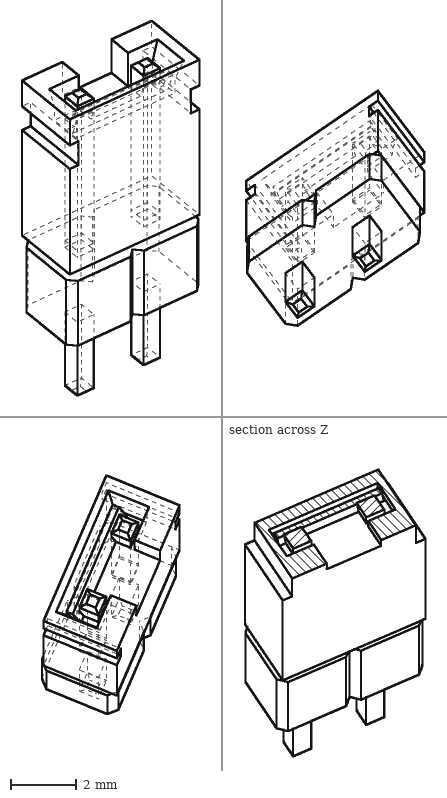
import cadquery as cq
import math

overall_height = 11.8

header_length = 5.09
pin_pitch = header_length / 2
block_depth = 2.55
block_height = 2.51
block_bottom = 3.01
block_chamfer = 0.26

pin_positions_y = (-pin_pitch / 2, pin_pitch / 2)
pin_width = 0.64
pin_top = 11.54
pin_tip_height = 0.15
pin_tip_width = pin_width / 2

cap_min_x = -1.31
cap_max_x = 1.13
cap_length = 4.98
cap_height = 6.02
cap_bottom = overall_height - cap_height

groove_top = overall_height - 1.0
groove_height = 0.92
groove_depth = 0.33

pocket_min_x = -0.46
pocket_max_x = 0.88
pocket_length = 4.15
pocket_depth = 1.3
pocket_floor = overall_height - pocket_depth
pocket_taper_depth = 0.75
pocket_taper_x = 0.21
pocket_taper_y = 0.19
window_width = 1.89

contact_length = 3.66
contact_thickness = 0.22
contact_foot_x = 0.17
contact_lean = 0.27
contact_height = 0.78


def box_between(min_x, max_x, length, bottom, top):
    """Box centred on Y = 0, spanning the given X and Z ranges."""
    size_x = max_x - min_x
    return (
        cq.Workplane("XY", origin=((min_x + max_x) / 2, 0, bottom))
        .rect(size_x, length)
        .extrude(top - bottom)
    )


def make_pin(y):
    """Square pin with a tapered tip at each end."""
    def tip(z, direction):
        return (
            cq.Workplane("XY", origin=(0, y, z))
            .rect(pin_width, pin_width)
            .workplane(offset=direction * pin_tip_height)
            .rect(pin_tip_width, pin_tip_width)
            .loft()
        )

    shank_bottom = pin_tip_height
    shank_top = pin_top - pin_tip_height
    shank = (
        cq.Workplane("XY", origin=(0, y, shank_bottom))
        .rect(pin_width, pin_width)
        .extrude(shank_top - shank_bottom)
    )
    return shank.union(tip(shank_bottom, -1)).union(tip(shank_top, 1))


def make_header():
    """Row of chamfered cells, one piece with the pin that runs through each cell."""
    header = cq.Workplane("XY")
    for y in pin_positions_y:
        cell = (
            cq.Workplane("XY", origin=(0, y, block_bottom))
            .rect(block_depth, pin_pitch)
            .extrude(block_height)
            .edges("|Z")
            .chamfer(block_chamfer)
        )
        header = header.union(cell).union(make_pin(y))
    return header


def make_pocket():
    """Pocket tapering inward at its +X wall and both ends, then straight down to its floor."""
    floor_max_x = pocket_max_x - pocket_taper_x
    floor_length = pocket_length - 2 * pocket_taper_y
    taper_bottom = overall_height - pocket_taper_depth
    straight_part = box_between(pocket_min_x, floor_max_x, floor_length, pocket_floor, taper_bottom)
    tapered_part = (
        straight_part.faces(">Z")
        .workplane(centerOption="CenterOfBoundBox")
        .rect(floor_max_x - pocket_min_x, floor_length)
        .workplane(offset=pocket_taper_depth)
        .center(pocket_taper_x / 2, 0)
        .rect(pocket_max_x - pocket_min_x, pocket_length)
        .loft(combine=False)
    )
    return straight_part.union(tapered_part)


def make_contact():
    """Flat leaning strip, its foot cut level with the pocket floor."""
    slant = math.hypot(contact_lean, contact_height)
    back_shift_x = contact_thickness * contact_height / slant
    back_drop = contact_thickness * contact_lean / slant
    foot_width = contact_thickness * slant / contact_height
    head_x = contact_foot_x + contact_lean
    head_z = pocket_floor + contact_height
    return (
        cq.Workplane("XZ", origin=(0, contact_length / 2, 0))
        .moveTo(contact_foot_x, pocket_floor)
        .lineTo(head_x, head_z)
        .lineTo(head_x + back_shift_x, head_z - back_drop)
        .lineTo(contact_foot_x + foot_width, pocket_floor)
        .close()
        .extrude(contact_length)
    )


def make_cap():
    """Jumper cap with grip grooves, open pocket and contact strip, pierced by the pins."""
    cap = box_between(cap_min_x, cap_max_x, cap_length, cap_bottom, overall_height)
    groove_bottom = groove_top - groove_height
    groove = box_between(cap_min_x, cap_max_x, 2 * groove_depth, groove_bottom, groove_top)
    for side in (-1, 1):
        cap = cap.cut(groove.translate((0, side * cap_length / 2, 0)))
    window = box_between(cap_min_x, pocket_min_x, window_width, pocket_floor, overall_height)
    cap = cap.cut(make_pocket()).cut(window).union(make_contact())
    for y in pin_positions_y:
        cap = cap.cut(make_pin(y))
    return cap


header = make_header()
cap = make_cap()

result = cq.Compound.makeCompound([header.val(), cap.val()])